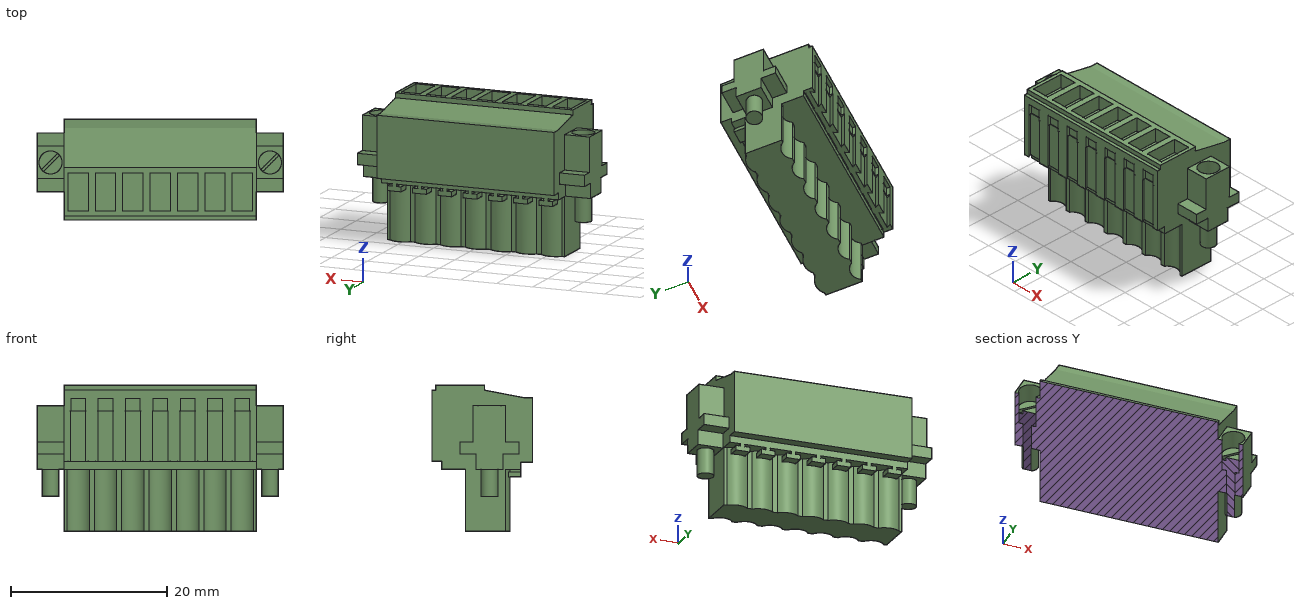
import cadquery as cq

POLES = 7
PITCH = 3.5
FIRST_POLE_X = -(POLES - 1) * PITCH / 2
POLE_XS = [FIRST_POLE_X + i * PITCH for i in range(POLES)]

END_MARGIN = 0.05
BLOCK_WIDTH = POLES * PITCH + 2 * END_MARGIN
BLOCK_DEPTH = 12.9
TOTAL_HEIGHT = 18.7
TOP_LEDGE_DEPTH = 0.5
TOP_LEDGE_Z = 18.05
PLATEAU_BACK_Y = 6.75
ROOF_STEP_Z = 18.05
ROOF_BACK_Y = 11.75
BACK_TOP_Z = 17.1
FRONT_WALL_Z = 8.95
BACK_WALL_Z = 8.8
BASE_Z = 7.9
BASE_FRONT_Y = 1.25
BASE_BACK_Y = 11.4

SLEEVE_FRONT_Y = 4.3
SLEEVE_BACK_Y = 9.45
SCALLOP_WIDTH = 2.85
HOLLOW_DEPTH = 0.8
BULGE_DEPTH = 0.55

POCKET_WIDTH = 2.59
POCKET_FRONT_Y = 1.15
POCKET_BACK_Y = 6.0
POCKET_OPEN_DEPTH = 2.0
POCKET_FLOOR_Z = TOTAL_HEIGHT - POCKET_OPEN_DEPTH

CLAMP_BOTTOM_Z = FRONT_WALL_Z

GROOVE_TOP_Z = 17.0
UNDERCUT_TOP_Z = 15.4
GROOVE_WIDTH = 1.86
UNDERCUT_MOUTH = 1.94
UNDERCUT_FLOOR = 2.54
GROOVE_DEPTH = 0.47
UNDERCUT_DEPTH = 0.55

HOOK_WIDTH = 1.9
HOOK_TOP_Z = 7.6
HOOK_BOTTOM_Z = 6.95
NECK_WIDTH = 0.6

FLANGE_TIP_X = 15.75
FLANGE_LENGTH = FLANGE_TIP_X - BLOCK_WIDTH / 2
SCREW_X = FLANGE_TIP_X - FLANGE_LENGTH / 2
SCREW_Y = 7.37
FLANGE_TOP_Z = 16.05
WING_TOP_Z = 11.4
WING_BOTTOM_Z = 9.9
FLANGE_TOP_WIDTH = 4.15
WING_SPAN = 7.55
FLANGE_FOOT_WIDTH = 3.5

HEAD_DIAMETER = 2.95
SHANK_DIAMETER = 2.15
SHANK_END_Z = 4.45
HEAD_TOP_Z = 13.5
HEAD_HEIGHT = 2.0
HEAD_BOTTOM_Z = HEAD_TOP_Z - HEAD_HEIGHT
DRIVE_SLOT_WIDTH = 0.35
DRIVE_SLOT_DEPTH = 0.5
DRIVE_SLOT_ANGLE = 45


def box(x0, x1, y0, y1, z0, z1):
    return cq.Workplane("XY").box(x1 - x0, y1 - y0, z1 - z0, centered=False).translate((x0, y0, z0))


def pole_box(x, width, y0, y1, z0, z1):
    return box(x - width / 2, x + width / 2, y0, y1, z0, z1)


def block():
    outline = [
        (TOP_LEDGE_DEPTH, TOTAL_HEIGHT),
        (PLATEAU_BACK_Y, TOTAL_HEIGHT),
        (PLATEAU_BACK_Y, ROOF_STEP_Z),
        (ROOF_BACK_Y, BACK_TOP_Z),
        (BLOCK_DEPTH, BACK_TOP_Z),
        (BLOCK_DEPTH, BACK_WALL_Z),
        (BASE_BACK_Y, BACK_WALL_Z),
        (BASE_BACK_Y, BASE_Z),
        (BASE_FRONT_Y, BASE_Z),
        (BASE_FRONT_Y, FRONT_WALL_Z),
        (0, FRONT_WALL_Z),
        (0, TOP_LEDGE_Z),
        (TOP_LEDGE_DEPTH, TOP_LEDGE_Z),
    ]
    return cq.Workplane("YZ").polyline(outline).close().extrude(BLOCK_WIDTH / 2, both=True)


def sleeve():
    half = BLOCK_WIDTH / 2
    outline = cq.Workplane("XY").moveTo(-half, SLEEVE_FRONT_Y)
    for x in POLE_XS:
        outline = outline.lineTo(x - SCALLOP_WIDTH / 2, SLEEVE_FRONT_Y).threePointArc(
            (x, SLEEVE_FRONT_Y + HOLLOW_DEPTH), (x + SCALLOP_WIDTH / 2, SLEEVE_FRONT_Y)
        )
    outline = outline.lineTo(half, SLEEVE_FRONT_Y).lineTo(half, SLEEVE_BACK_Y)
    for x in reversed(POLE_XS):
        outline = outline.lineTo(x + SCALLOP_WIDTH / 2, SLEEVE_BACK_Y).threePointArc(
            (x, SLEEVE_BACK_Y + BULGE_DEPTH), (x - SCALLOP_WIDTH / 2, SLEEVE_BACK_Y)
        )
    return outline.lineTo(-half, SLEEVE_BACK_Y).close().extrude(BASE_Z)


def pocket(x):
    return pole_box(x, POCKET_WIDTH, POCKET_FRONT_Y, POCKET_BACK_Y, CLAMP_BOTTOM_Z, TOTAL_HEIGHT)


def clamp(x):
    return pole_box(x, POCKET_WIDTH, POCKET_FRONT_Y, POCKET_BACK_Y, CLAMP_BOTTOM_Z, POCKET_FLOOR_Z)


def coding_groove(x):
    straight = pole_box(x, GROOVE_WIDTH, 0, GROOVE_DEPTH, UNDERCUT_TOP_Z, GROOVE_TOP_Z)
    section = [
        (x - UNDERCUT_MOUTH / 2, 0),
        (x + UNDERCUT_MOUTH / 2, 0),
        (x + UNDERCUT_FLOOR / 2, UNDERCUT_DEPTH),
        (x - UNDERCUT_FLOOR / 2, UNDERCUT_DEPTH),
    ]
    undercut = (
        cq.Workplane("XY", origin=(0, 0, FRONT_WALL_Z))
        .polyline(section).close().extrude(UNDERCUT_TOP_Z - FRONT_WALL_Z)
    )
    return straight.union(undercut)


def hook(x):
    plate = pole_box(x, HOOK_WIDTH, SLEEVE_BACK_Y, BASE_BACK_Y, HOOK_BOTTOM_Z, HOOK_TOP_Z)
    neck = pole_box(x, NECK_WIDTH, SLEEVE_BACK_Y, BASE_BACK_Y, HOOK_TOP_Z, BASE_Z)
    return plate.union(neck)


def flange(side):
    inner = side * BLOCK_WIDTH / 2
    tip = side * FLANGE_TIP_X
    x0, x1 = min(inner, tip), max(inner, tip)

    def layer(width, z0, z1):
        return box(x0, x1, SCREW_Y - width / 2, SCREW_Y + width / 2, z0, z1)

    return (
        layer(FLANGE_TOP_WIDTH, WING_TOP_Z, FLANGE_TOP_Z)
        .union(layer(WING_SPAN, WING_BOTTOM_Z, WING_TOP_Z))
        .union(layer(FLANGE_FOOT_WIDTH, BASE_Z, WING_BOTTOM_Z))
    )


def cylinder(x, diameter, z0, z1):
    return cq.Workplane("XY", origin=(x, SCREW_Y, z0)).circle(diameter / 2).extrude(z1 - z0)


def screw(side):
    x = side * SCREW_X
    drive_slot = (
        cq.Workplane("XY", origin=(x, SCREW_Y, HEAD_TOP_Z))
        .transformed(rotate=(0, 0, DRIVE_SLOT_ANGLE))
        .rect(2 * HEAD_DIAMETER, DRIVE_SLOT_WIDTH).extrude(-DRIVE_SLOT_DEPTH)
    )
    return (
        cylinder(x, HEAD_DIAMETER, HEAD_BOTTOM_Z, HEAD_TOP_Z)
        .union(cylinder(x, SHANK_DIAMETER, SHANK_END_Z, HEAD_BOTTOM_Z))
        .cut(drive_slot)
    )


def screw_bore(side):
    x = side * SCREW_X
    return cylinder(x, HEAD_DIAMETER, HEAD_BOTTOM_Z, FLANGE_TOP_Z).union(
        cylinder(x, SHANK_DIAMETER, BASE_Z, HEAD_BOTTOM_Z)
    )


housing = block().union(sleeve())
for side in (-1, 1):
    housing = housing.union(flange(side)).cut(screw_bore(side))
for x in POLE_XS:
    housing = housing.union(hook(x)).cut(pocket(x)).cut(coding_groove(x))

clamps = [clamp(x).val() for x in POLE_XS]
screws = [screw(side).val() for side in (-1, 1)]
result = cq.Compound.makeCompound([housing.val(), *clamps, *screws])